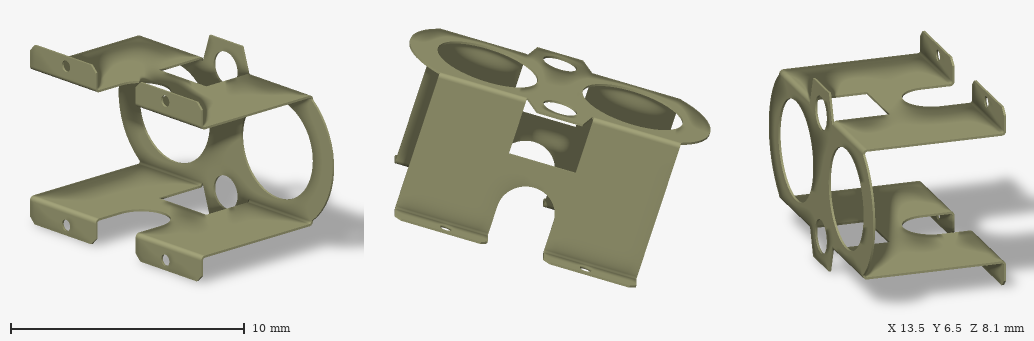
import cadquery as cq
import math


thickness = 0.1
inner_bend = thickness
outer_bend = inner_bend + thickness

length = 13.48
depth = 6.5
height = 8.1
top = height / 2

shelf_outer_z = 2.95
shelf_inner_z = shelf_outer_z - thickness
shelf_half_width = 5.4
bend_start_z = shelf_inner_z - inner_bend
window_half_width = 1.5
window_depth = 2.6
slot_half_width = 1.25
slot_depth = 2.75
lip_chamfer = 0.3
lip_hole_x = 3.13
lip_hole_z = 3.6
lip_hole_radius = 0.25

end_radius = 3.49
end_center_x = length / 2 - end_radius
lens_hole_radius = 2.25
tab_top_half_width = 1.02
tab_root_half_width = 1.44
tab_hole_z = 2.8
tab_hole_radius = 0.75

through = 3 * depth


def discs(points, radius):
    """Cylinders along Y that pass through the whole part."""
    return (
        cq.Workplane("XZ", origin=(0, through / 2, 0))
        .pushPoints(points)
        .circle(radius)
        .extrude(through)
    )


def face_plate():
    """Flat plate with round ends, two large holes and a pierced tab above and below."""
    end_x = end_center_x + math.sqrt(end_radius**2 - bend_start_z**2)
    plate = (
        cq.Workplane("XZ")
        .moveTo(-end_x, bend_start_z)
        .lineTo(-tab_root_half_width, bend_start_z)
        .lineTo(-tab_top_half_width, top)
        .lineTo(tab_top_half_width, top)
        .lineTo(tab_root_half_width, bend_start_z)
        .lineTo(end_x, bend_start_z)
        .threePointArc((length / 2, 0), (end_x, -bend_start_z))
        .lineTo(tab_root_half_width, -bend_start_z)
        .lineTo(tab_top_half_width, -top)
        .lineTo(-tab_top_half_width, -top)
        .lineTo(-tab_root_half_width, -bend_start_z)
        .lineTo(-end_x, -bend_start_z)
        .threePointArc((-length / 2, 0), (-end_x, bend_start_z))
        .close()
        .extrude(thickness)
    )
    lens_holes = discs([(-end_center_x, 0), (end_center_x, 0)], lens_hole_radius)
    tab_holes = discs([(0, -tab_hole_z), (0, tab_hole_z)], tab_hole_radius)
    return plate.cut(lens_holes).cut(tab_holes)


def bent_strip():
    """Rear bend, shelf, front bend and lip as one strip of full width."""
    lip_start_z = shelf_outer_z + inner_bend
    return (
        cq.Workplane("YZ", origin=(-shelf_half_width, 0, 0))
        .moveTo(0, bend_start_z)
        .radiusArc((-outer_bend, shelf_outer_z), -outer_bend)
        .lineTo(-depth + outer_bend, shelf_outer_z)
        .radiusArc((-depth + thickness, lip_start_z), inner_bend)
        .lineTo(-depth + thickness, top)
        .lineTo(-depth, top)
        .lineTo(-depth, lip_start_z)
        .radiusArc((-depth + outer_bend, shelf_inner_z), -outer_bend)
        .lineTo(-outer_bend, shelf_inner_z)
        .radiusArc((-thickness, bend_start_z), inner_bend)
        .close()
        .extrude(2 * shelf_half_width)
    )


def shelf_openings():
    """Rear window and round-ended front slot, cut vertically through the shelf."""
    window = (
        cq.Workplane("XY", origin=(0, -window_depth / 2, 0))
        .rect(2 * window_half_width, window_depth)
        .extrude(top)
    )
    slot_end_y = -depth + slot_depth
    slot_arc_y = slot_end_y - slot_half_width
    slot = (
        cq.Workplane("XY")
        .moveTo(-slot_half_width, -depth)
        .lineTo(-slot_half_width, slot_arc_y)
        .threePointArc((0, slot_end_y), (slot_half_width, slot_arc_y))
        .lineTo(slot_half_width, -depth)
        .close()
        .extrude(top)
    )
    return window.union(slot)


def upper_shelf():
    """Upper shelf with its two chamfered, drilled lips."""
    shelf = bent_strip().cut(shelf_openings())
    shelf = shelf.faces(">Z").edges("|Y").chamfer(lip_chamfer)
    return shelf.cut(discs([(-lip_hole_x, lip_hole_z), (lip_hole_x, lip_hole_z)], lip_hole_radius))


upper = upper_shelf()
lower = upper.mirror("XY")
result = face_plate().union(upper).union(lower)